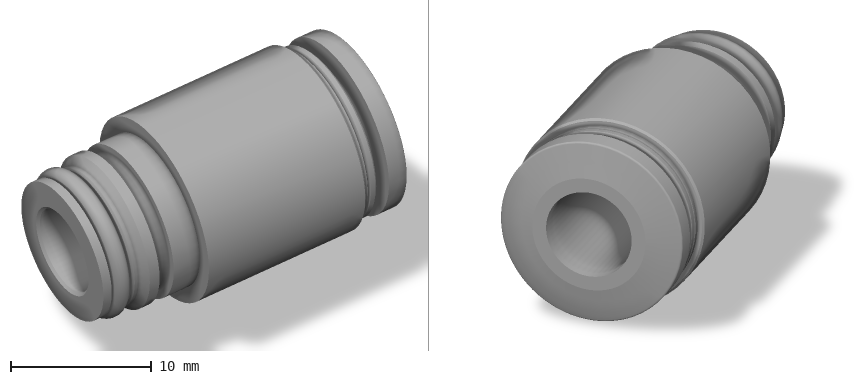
import cadquery as cq

total_length = 25.2

bore_d = 6.5
bore_chamfer = 0.2

plug_d = 10.8
flange_length = 0.7
seal_groove_d = 8.6
seal_groove_width = 1.8
seal_groove_back = flange_length + seal_groove_width
plug_edge_chamfer = 0.15
land_d = 11.95
land_front = 2.97
land_taper = (land_d - plug_d) / 2

ring_width = 1.3
ring_outer_d = 11.56
ring_side_d = 10.65

retaining_d = 10.15
retaining_front = 4.37
retaining_width = 1.2

body_d = 14.4
body_front = 7.75
body_back = 21.1
body_edge_chamfer = 0.15

collar_d = 13.4
collar_back = 22.3
collar_edge_chamfer = 0.15
v_groove_center = 21.63
v_groove_width = 0.26
v_groove_depth = 0.2

neck_d = 9.4
cap_d = 13.8
cap_front = 23.15
cap_face_d = 8.6
cap_cone_length = 0.52
cap_rim_fillet = 0.15

corner_fillet = 0.3


def rod(diameter, start, end):
    """Cylinder on the Y axis between two axial positions."""
    return cq.Workplane("XZ", origin=(0, start, 0)).circle(diameter / 2).extrude(start - end)


def cone(start_d, end_d, start, end):
    """Truncated cone on the Y axis between two axial positions."""
    outline = cq.Workplane("XY").moveTo(0, start).lineTo(start_d / 2, start)
    outline = outline.lineTo(end_d / 2, end).lineTo(0, end).close()
    return outline.revolve(360, (0, 0), (0, 1))


def groove_cutter(outer_d, floor_d, front, width):
    """Ring that cuts a square groove with both floor corners rounded."""
    back = front + width
    ring = rod(outer_d, front, back).cut(rod(floor_d, front, back))
    return ring.edges(cq.selectors.RadiusNthSelector(0)).fillet(corner_fillet)


def make_plug():
    flange = rod(plug_d, 0, seal_groove_back)
    rim = rod(plug_d, seal_groove_back, land_front).faces("<Y").chamfer(plug_edge_chamfer)
    land = rod(land_d, land_front, body_front).faces("<Y").chamfer(land_taper)
    seal_groove = groove_cutter(land_d, seal_groove_d, flange_length, seal_groove_width)
    retaining_groove = groove_cutter(body_d, retaining_d, retaining_front, retaining_width)
    return flange.union(rim).union(land).cut(seal_groove).cut(retaining_groove)


def make_seal_ring():
    center_y = flange_length + seal_groove_width / 2
    front = center_y - ring_width / 2
    back = center_y + ring_width / 2
    inner_radius = bore_d / 2
    outer_radius = ring_outer_d / 2
    round_start = ring_side_d / 2
    section = cq.Workplane("XY").moveTo(inner_radius, front).lineTo(round_start, front)
    section = section.threePointArc((outer_radius, center_y), (round_start, back))
    section = section.lineTo(inner_radius, back).close()
    return section.revolve(360, (0, 0), (0, 1))


def make_body():
    return rod(body_d, body_front, body_back).faces(">Y").chamfer(body_edge_chamfer)


def make_collar():
    collar = rod(collar_d, body_back, collar_back).faces(">Y").chamfer(collar_edge_chamfer)
    radius = collar_d / 2
    half_width = v_groove_width / 2
    v_section = cq.Workplane("XY").moveTo(radius, v_groove_center - half_width)
    v_section = v_section.lineTo(radius - v_groove_depth, v_groove_center)
    v_section = v_section.lineTo(radius, v_groove_center + half_width).close()
    return collar.cut(v_section.revolve(360, (0, 0), (0, 1)))


def make_button():
    rim_back = total_length - cap_cone_length
    disc = rod(cap_d, cap_front, rim_back)
    cap = disc.union(cone(cap_d, cap_face_d, rim_back, total_length))
    rim = cq.selectors.RadiusNthSelector(-1)
    cap = cap.edges("%CIRCLE").edges(rim).edges(">Y").fillet(cap_rim_fillet)
    neck_space = rod(cap_d, collar_back, cap_front).cut(rod(neck_d, collar_back, cap_front))
    neck_space = neck_space.faces(">Y").edges(cq.selectors.RadiusNthSelector(0)).fillet(corner_fillet)
    neck = rod(cap_d, collar_back, cap_front).cut(neck_space)
    return cap.union(neck)


def make_bore():
    mouth = cone(bore_d + 2 * bore_chamfer, bore_d, 0, bore_chamfer)
    return rod(bore_d, 0, total_length).union(mouth)


solid_part = make_plug().union(make_seal_ring()).union(make_body()).union(make_collar())
result = solid_part.union(make_button()).cut(make_bore())